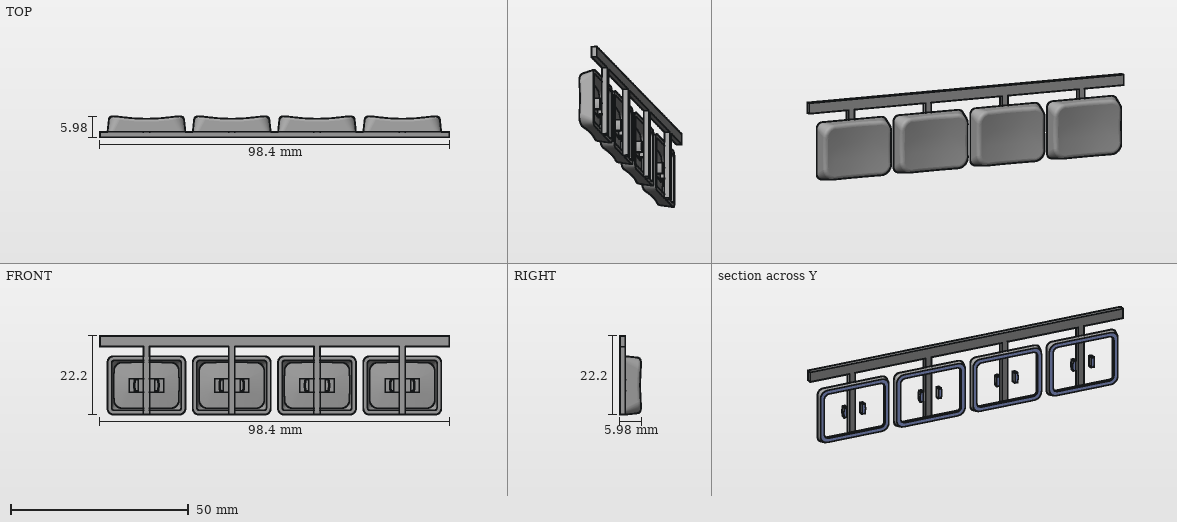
import cadquery as cq

RAIL_LENGTH = 98.38
RAIL_HEIGHT = 3.0
RAIL_OVERHANG = 2.15
RUNNER_THICKNESS = 1.55
STRUT_WIDTH = 1.8
TOTAL_HEIGHT = 22.18
TOTAL_DEPTH = 5.98

CAP_COUNT = 4
CAP_PITCH = 24.0
CAP_WIDTH = 22.0
CAP_HEIGHT = 16.5
CAP_DEPTH = TOTAL_DEPTH - RUNNER_THICKNESS
RIM_CORNER_RADIUS = 1.8
BLANK_ALLOWANCE = 1.0
BLANK_DEPTH = CAP_DEPTH + BLANK_ALLOWANCE
CROWN_INSET = 0.6
CROWN_CORNER_RADIUS = 3.9
CROWN_FILLET = 1.0
DISH_RADIUS = 52.0
DISH_DEPTH = 1.14
DISH_LOW_Y = CAP_DEPTH - DISH_DEPTH

RIM_WALL = 1.2
CAVITY_CORNER_RADIUS = 0.8
FLOOR_INSET = 1.15
FLOOR_CORNER_RADIUS = 3.2
CROWN_THICKNESS = 1.1

PAD_WIDTH = 9.6
PAD_HEIGHT = 3.85
PAD_THICKNESS = 0.2
FLOOR_LOW_Y = DISH_LOW_Y - CROWN_THICKNESS
PAD_Y = FLOOR_LOW_Y - PAD_THICKNESS
LEG_GAP = 4.7
LEG_HEIGHT = 3.1
LEG_TIP_THICKNESS = 0.75
LEG_BULGE = 0.2
LEG_DRAFT = 0.25
LEG_TIP_Y = 0.0


def plane_at(y):
    """Work plane facing +Y; its local axes are +X and -Z."""
    return cq.Plane(origin=(0, y, 0), xDir=(1, 0, 0), normal=(0, 1, 0))


def box_between(x_span, y_span, z_span):
    size = [high - low for low, high in (x_span, y_span, z_span)]
    corner = (x_span[0], y_span[0], z_span[0])
    return cq.Workplane("XY").box(*size, centered=False).translate(corner)


def rounded_rectangle(width, height, radius):
    return cq.Sketch().rect(width, height).vertices().fillet(radius)


def tapered_block(width, height, radius, inset, far_radius):
    """Rounded block from the rim plane to BLANK_DEPTH, narrowing by inset on every side."""
    near = rounded_rectangle(width, height, radius)
    far = rounded_rectangle(width - 2 * inset, height - 2 * inset, far_radius)
    far = far.moved(cq.Location(cq.Vector(0, 0, BLANK_DEPTH)))
    return cq.Workplane(plane_at(0)).placeSketch(near, far).loft(ruled=True)


def dish_sphere(radius, low_y):
    return cq.Workplane("XY").sphere(radius).translate((0, low_y + radius, 0))


def cap_body():
    body = tapered_block(CAP_WIDTH, CAP_HEIGHT, RIM_CORNER_RADIUS, CROWN_INSET, CROWN_CORNER_RADIUS)
    body = body.cut(dish_sphere(DISH_RADIUS, DISH_LOW_Y))
    return body.faces("%SPHERE").edges().fillet(CROWN_FILLET)


def cap_cavity():
    cavity = tapered_block(
        CAP_WIDTH - 2 * RIM_WALL,
        CAP_HEIGHT - 2 * RIM_WALL,
        CAVITY_CORNER_RADIUS,
        FLOOR_INSET,
        FLOOR_CORNER_RADIUS,
    )
    return cavity.cut(dish_sphere(DISH_RADIUS + CROWN_THICKNESS, FLOOR_LOW_Y))


def mount_leg(side):
    """Leg on the +X (side = 1) or -X (side = -1) half of the pad, with a bowed outer face."""
    def outline(work, thickness):
        inner = side * LEG_GAP / 2
        outer = inner + side * thickness
        bowed = outer + side * LEG_BULGE
        return (
            work.moveTo(inner, -LEG_HEIGHT / 2)
            .lineTo(outer, -LEG_HEIGHT / 2)
            .threePointArc((bowed, 0), (outer, LEG_HEIGHT / 2))
            .lineTo(inner, LEG_HEIGHT / 2)
            .close()
        )

    tip = outline(cq.Workplane(plane_at(LEG_TIP_Y)), LEG_TIP_THICKNESS)
    base = outline(tip.workplane(offset=PAD_Y - LEG_TIP_Y), LEG_TIP_THICKNESS + LEG_DRAFT)
    return base.loft(ruled=True)


def switch_mount():
    pad = box_between(
        (-PAD_WIDTH / 2, PAD_WIDTH / 2),
        (PAD_Y, FLOOR_LOW_Y + CROWN_THICKNESS / 2),
        (-PAD_HEIGHT / 2, PAD_HEIGHT / 2),
    )
    return pad.union(mount_leg(-1)).union(mount_leg(1))


def key_cap():
    return cap_body().cut(cap_cavity()).union(switch_mount())


def runner(cap_centers):
    rail_left = -CAP_WIDTH / 2 - RAIL_OVERHANG
    depth_span = (-RUNNER_THICKNESS, 0)
    rail_bottom = TOTAL_HEIGHT - RAIL_HEIGHT
    frame = box_between((rail_left, rail_left + RAIL_LENGTH), depth_span, (rail_bottom, TOTAL_HEIGHT))
    for x in cap_centers:
        strut_span = (x - STRUT_WIDTH / 2, x + STRUT_WIDTH / 2)
        frame = frame.union(box_between(strut_span, depth_span, (0, TOTAL_HEIGHT)))
    return frame


cap_centers = [index * CAP_PITCH for index in range(CAP_COUNT)]
cap = key_cap()
result = runner(cap_centers)
for x in cap_centers:
    result = result.union(cap.translate((x, 0, CAP_HEIGHT / 2)))